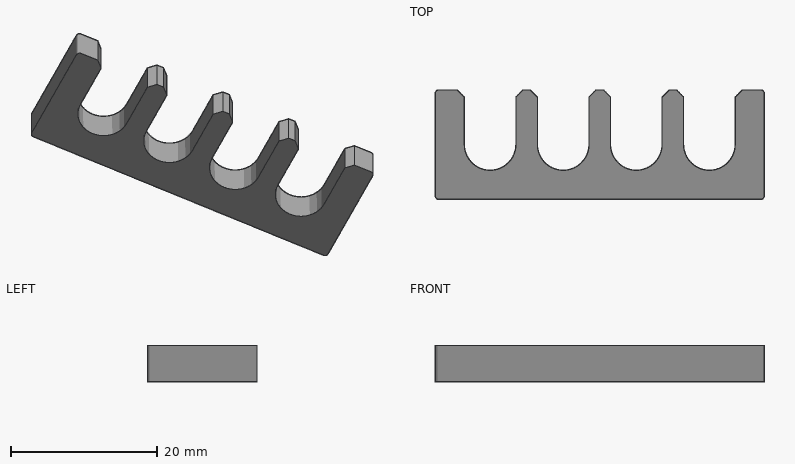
import cadquery as cq

length = 45.0
depth = 15.0
thickness = 5.0
corner_radius = 0.5
slot_count = 4
slot_pitch = 10.0
slot_width = 7.0
floor_width = 4.0
mouth_chamfer = 1.0

slot_radius = slot_width / 2
mouth_half_width = slot_radius + mouth_chamfer
open_edge = depth / 2
slot_bottom = floor_width - depth / 2
arc_center = slot_bottom + slot_radius


def base_bar():
    """Flat bar with rounded vertical corners."""
    bar = cq.Workplane("XY").box(length, depth, thickness)
    return bar.edges("|Z").fillet(corner_radius)


def slot_cutter(center_x):
    """Round-bottomed slot with a chamfered mouth at the +Y edge."""
    left = center_x - slot_radius
    right = center_x + slot_radius
    return (
        cq.Workplane("XY")
        .workplane(offset=-thickness / 2)
        .moveTo(center_x - mouth_half_width, open_edge)
        .lineTo(left, open_edge - mouth_chamfer)
        .lineTo(left, arc_center)
        .threePointArc((center_x, slot_bottom), (right, arc_center))
        .lineTo(right, open_edge - mouth_chamfer)
        .lineTo(center_x + mouth_half_width, open_edge)
        .close()
        .extrude(thickness)
    )


result = base_bar()
for index in range(slot_count):
    slot_x = (index - (slot_count - 1) / 2) * slot_pitch
    result = result.cut(slot_cutter(slot_x))